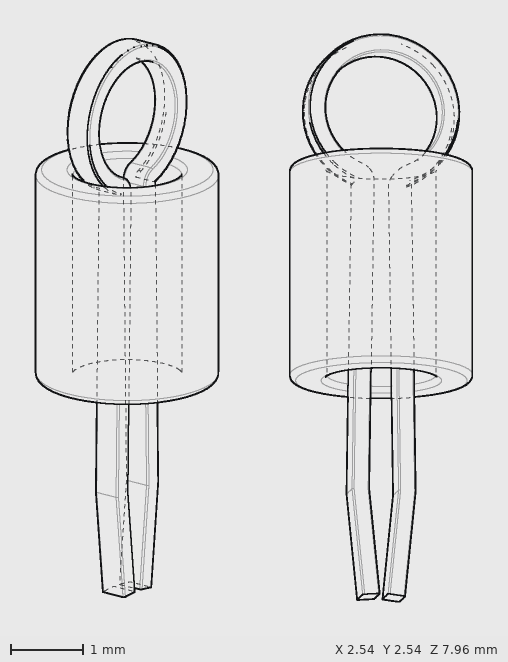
import cadquery as cq
import math

TOTAL_HEIGHT = 7.96

BUSHING_DIAMETER = 2.54
BUSHING_BORE = 1.51
BUSHING_BOTTOM = 3.09
BUSHING_HEIGHT = 3.03
BUSHING_EDGE_RADIUS = 0.08

STRIP_WIDTH = 0.4
STRIP_THICKNESS = 0.25
STRIP_EDGE_RADIUS = 0.02
RING_RADIUS = 1.075
KNEE_HEIGHT = 1.5
KNEE_Y = 0.45
EXIT_Y = 0.43
TIP_Y = 0.3

RING_INNER_RADIUS = RING_RADIUS - STRIP_THICKNESS
RING_CENTER_Z = TOTAL_HEIGHT - RING_RADIUS


def make_bushing():
    sleeve = (
        cq.Workplane("XY")
        .workplane(offset=BUSHING_BOTTOM)
        .circle(BUSHING_DIAMETER / 2)
        .circle(BUSHING_BORE / 2)
        .extrude(BUSHING_HEIGHT)
    )
    return sleeve.faces("|Z").edges().fillet(BUSHING_EDGE_RADIUS)


def inward_normal(lower, upper):
    """Unit normal of a leg section, pointing towards the gap between the legs."""
    dy = upper[0] - lower[0]
    dz = upper[1] - lower[1]
    length = math.hypot(dy, dz)
    return (-dz / length, dy / length)


def offset(point, direction, distance):
    return (point[0] + direction[0] * distance, point[1] + direction[1] * distance)


def ring_neck(slope):
    """Point where the outer face of the upper leg section meets the ring's outer circle."""
    lean = KNEE_Y + slope * (RING_CENTER_Z - KNEE_HEIGHT)
    a = 1 + slope ** 2
    b = 2 * slope * lean
    c = lean ** 2 - RING_RADIUS ** 2
    h = (-b - math.sqrt(b ** 2 - 4 * a * c)) / (2 * a)
    return (lean + slope * h, RING_CENTER_Z + h)


def mirrored(point):
    return (-point[0], point[1])


def make_clip():
    tip = (TIP_Y, 0)
    knee = (KNEE_Y, KNEE_HEIGHT)
    slope = (EXIT_Y - KNEE_Y) / (BUSHING_BOTTOM - KNEE_HEIGHT)
    neck = ring_neck(slope)

    tip_normal = inward_normal(tip, knee)
    leg_normal = inward_normal(knee, neck)
    inner_tip = offset(tip, tip_normal, STRIP_THICKNESS)
    miter = STRIP_THICKNESS / (1 + tip_normal[0] * leg_normal[0] + tip_normal[1] * leg_normal[1])
    normal_sum = (tip_normal[0] + leg_normal[0], tip_normal[1] + leg_normal[1])
    inner_knee = offset(knee, normal_sum, miter)

    to_ring = (-neck[0] / RING_RADIUS, (RING_CENTER_Z - neck[1]) / RING_RADIUS)
    leg_angle = math.atan2(leg_normal[1], leg_normal[0]) % math.tau
    ring_angle = math.atan2(to_ring[1], to_ring[0])
    bend_angle = (leg_angle + ring_angle) / 2
    bend_direction = (math.cos(bend_angle), math.sin(bend_angle))
    bend_start = offset(neck, leg_normal, STRIP_THICKNESS)
    bend_middle = offset(neck, bend_direction, STRIP_THICKNESS)
    bend_end = offset(neck, to_ring, STRIP_THICKNESS)

    outline = (
        cq.Workplane("YZ")
        .moveTo(*tip)
        .lineTo(*knee)
        .lineTo(*neck)
        .threePointArc((0, TOTAL_HEIGHT), mirrored(neck))
        .lineTo(*mirrored(knee))
        .lineTo(*mirrored(tip))
        .lineTo(*mirrored(inner_tip))
        .lineTo(*mirrored(inner_knee))
        .lineTo(*mirrored(bend_start))
        .threePointArc(mirrored(bend_middle), mirrored(bend_end))
        .threePointArc((0, RING_CENTER_Z + RING_INNER_RADIUS), bend_end)
        .threePointArc(bend_middle, bend_start)
        .lineTo(*inner_knee)
        .lineTo(*inner_tip)
        .close()
    )
    strip = outline.extrude(STRIP_WIDTH / 2, both=True)

    side_edges = strip.faces("<X or >X").edges()
    long_edges = side_edges.filter(lambda edge: edge.Center().z > STRIP_THICKNESS)
    return long_edges.fillet(STRIP_EDGE_RADIUS)


bushing = make_bushing()
clip = make_clip()
result = cq.Compound.makeCompound([bushing.val(), clip.val()])